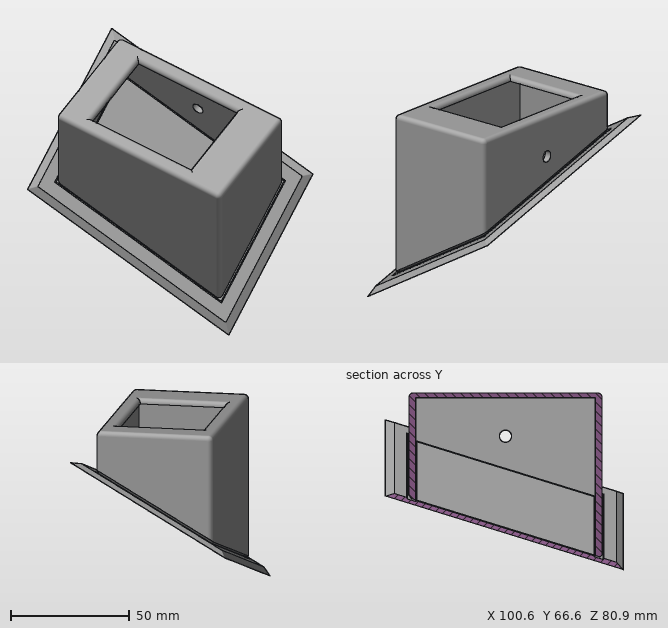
import cadquery as cq
import math

overall_height = 81.0
tilt_about_y = math.radians(15)
tilt_about_x = math.radians(30)
normal = cq.Vector(
    math.sin(tilt_about_y),
    -math.cos(tilt_about_y) * math.sin(tilt_about_x),
    math.cos(tilt_about_y) * math.cos(tilt_about_x),
)
in_plane_x = cq.Vector(1, 0, 0) - normal * normal.x

plate_length = 100.6
plate_width = 66.6
plate_thickness = 2.0
bevel_angle = 60.0
bevel_corner_radius = 0.7

housing_length = 81.8
housing_width = 50.0
wall = 3.0
ceiling = 2.1
edge_radius = 2.0
foot_chamfer = 1.0
housing_axis = normal * plate_thickness
lowest_point = -(normal.x * plate_length - normal.y * plate_width) / (2 * normal.z)
housing_top = lowest_point + overall_height

groove_length = 83.4
groove_width = 50.6
groove_depth = 0.5
groove_wall_angle = 45.0
island_clearance = 0.5
foot_gap = 0.4

window_length = 49.2
window_width = 36.4
window_offset_x = -2.6

side_hole_diameter = 5.0
side_hole_z = 27.9


def tilted_workplane(height):
    """Workplane parallel to the seating plane, raised along its normal."""
    return cq.Workplane(cq.Plane(normal * height, in_plane_x, normal))


def slanted_outline(height, length, width):
    """Closed outline on a tilted workplane that is a length x width rectangle along Z."""
    workplane = tilted_workplane(height)
    corners = []
    for side_x, side_y in ((-1, -1), (1, -1), (1, 1), (-1, 1)):
        x = side_x * length / 2
        y = side_y * width / 2
        z = -(normal.x * x + normal.y * y) / normal.z
        corner = workplane.plane.toLocalCoords(workplane.plane.origin + cq.Vector(x, y, z))
        corners.append((corner.x, corner.y))
    return workplane.polyline(corners).close()


def make_groove():
    """Ring-shaped cutter whose inner and outer walls both slope towards its floor."""
    pocket = slanted_outline(plate_thickness, groove_length, groove_width).extrude(
        -groove_depth, taper=groove_wall_angle
    )
    inset = 2 * (wall + island_clearance)
    island = slanted_outline(plate_thickness, housing_length - inset, housing_width - inset).extrude(
        -groove_depth, taper=-groove_wall_angle
    )
    return pocket.cut(island)


def make_base_plate():
    slab = slanted_outline(0, plate_length, plate_width).extrude(plate_thickness, taper=bevel_angle)
    flat_faces_edges = cq.selectors.PerpendicularDirSelector(normal)
    corner_edges = cq.selectors.InverseSelector(flat_faces_edges)
    slab = slab.edges(corner_edges).fillet(bevel_corner_radius)
    return slab.cut(make_groove())


def upright_block(length, width, top, height, offset_x=0):
    """Vertical block hanging down from the level `top`, placed relative to the housing axis."""
    return (
        cq.Workplane("XY", origin=(housing_axis.x + offset_x, housing_axis.y, top))
        .rect(length, width)
        .extrude(-height)
    )


def make_window():
    """Cutter for the window: straight through the ceiling."""
    return upright_block(window_length, window_width, housing_top, ceiling, window_offset_x)


def make_housing():
    block_height = 2 * overall_height
    block = upright_block(housing_length, housing_width, housing_top, block_height)
    block = block.edges("|Z").fillet(edge_radius)
    block = block.faces(">Z").edges().fillet(edge_radius)

    foot_height = plate_thickness - groove_depth + foot_gap
    cutter_size = 4 * plate_length
    below_foot = tilted_workplane(foot_height).rect(cutter_size, cutter_size).extrude(-cutter_size)
    block = block.cut(below_foot)
    foot_face = cq.selectors.DirectionMinMaxSelector(normal, False)
    block = block.faces(foot_face).edges().chamfer(foot_chamfer)

    cavity = upright_block(
        housing_length - 2 * wall, housing_width - 2 * wall, housing_top - ceiling, block_height
    )
    shell = block.cut(cavity)

    shell = shell.cut(make_window())
    rim_wires = shell.faces(">Z").val().innerWires()
    shell = shell.newObject(rim_wires[0].Edges()).fillet(edge_radius)

    side_hole = (
        cq.Workplane("XZ", origin=(housing_axis.x, housing_axis.y, side_hole_z))
        .circle(side_hole_diameter / 2)
        .extrude(-housing_width)
    )
    return shell.cut(side_hole)


base_plate = make_base_plate()
housing = make_housing()

result = cq.Compound.makeCompound([base_plate.val(), housing.val()])